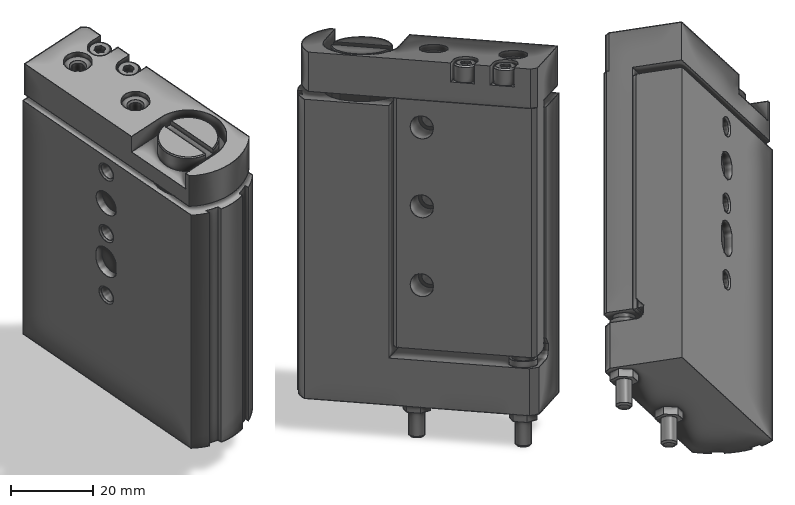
import cadquery as cq
import math

total_height = 96.8
plate_height = 10.0
stroke_gap = 2.0
housing_bottom = 8.8
plate_bottom = total_height - plate_height
housing_top = plate_bottom - stroke_gap
through = 193.6
overshoot = 1.0

housing_depth = 20.9
plate_back = 20.7
mid_y = plate_back / 2
side_flat_end = 58.5
rounded_side_x = 62.4
housing_chamfer = 1.9

groove_inner = 3.6
groove_outer = 6.6

recess_width = 37.3
recess_floor_y = 12.1
shelf_z = 20.7
relief_depth = 1.9
relief_wall_top = 24.1
ledge_inset = 1.2
pad_inset = 0.6

hole_x = 28.9
mount_hole_pitch = 20.0
top_mount_hole_z = 80.0
mount_hole_zs = [top_mount_hole_z - i * mount_hole_pitch for i in range(3)]
mount_hole_diameter = 4.2
mount_hole_mouth = 5.0
locating_diameter = 7.0
locating_depth = 2.0
locating_hole_z = 69.8
locating_slot_z = 50.7
locating_slot_length = 9.0

bumper_stud = (4.5, 17.0)
plain_stud = (31.5, 16.2)
stud_diameter = 4.0
stud_tip_chamfer = 0.5
nut_corners = 7.0
nut_height = 2.0
flange_diameter = 7.0
flange_height = 1.55
neck_diameter = 5.5

table_left = 0.3
table_right = 36.3
table_front = 13.2
table_back = 21.0
table_bottom = 23.6
table_chamfer = 1.1
plate_front = 0.3
plate_flat_end = 57.5
plate_round_x = 61.4
plate_chamfer = 1.4
access_hole_diameter = 5.8

guide_left = 7.7
guide_step = 19.9
guide_right = 25.9
guide_shallow = 0.5
guide_deep = 1.0

plate_hole_y = 10.1
plate_hole_xs = [8.8, 28.8]
counterbore_diameter = 7.0
counterbore_depth = 1.5
plate_hole_diameter = 3.2
plate_hole_mouth = 4.2

screw_xs = [8.8, 18.8]
screw_y = 17.5
screw_slot_width = 6.0
screw_slot_depth = 4.8
screw_head_diameter = 5.8
screw_head_drop = 0.6
screw_head_chamfer = 0.4
screw_socket_size = 2.8
screw_socket_depth = 1.9

knob_x = 46.85
knob_diameter = 15.0
knob_drop = 0.5
knob_chamfer = 0.3
knob_slot_width = 2.5
knob_slot_depth = 1.5
pocket_width = 18.8
pocket_depth = 5.0
adjuster_nut_corners = 15.0
nut_recess_diameter = 18.2
nut_recess_depth = 3.9
nut_recess_floor = housing_top - nut_recess_depth


def box(x0, x1, y0, y1, z0, z1):
    """Axis-aligned block between the given limits."""
    return cq.Workplane("XY").box(x1 - x0, y1 - y0, z1 - z0, centered=False).translate((x0, y0, z0))


def cylinder(x, y, z0, z1, diameter):
    """Upright cylinder."""
    return cq.Workplane("XY", origin=(x, y, z0)).circle(diameter / 2).extrude(z1 - z0)


def hexagon(x, y, z0, z1, corners):
    """Upright hexagonal prism with two corners on the X direction."""
    return cq.Workplane("XY", origin=(x, y, z0)).polygon(6, corners).extrude(z1 - z0)


def front_bore(x, z, diameter, y0, y1):
    """Cylinder along Y, used for holes in the front face."""
    return cq.Workplane("XZ", origin=(x, y0, z)).circle(diameter / 2).extrude(y0 - y1)


def rounded_slab(left, front, back, flat_end, tip, z0, z1):
    """Slab whose +X side is an arc from the front face to the back face."""
    return (
        cq.Workplane("XY", origin=(0, 0, z0))
        .moveTo(left, front)
        .lineTo(flat_end, front)
        .threePointArc((tip, (front + back) / 2), (flat_end, back))
        .lineTo(left, back)
        .close()
        .extrude(z1 - z0)
    )


def plate_blank(z0, z1):
    return rounded_slab(
        table_left, plate_front, plate_back, plate_flat_end, plate_round_x, z0, z1
    )


def sensor_grooves():
    """Two grooves in the rounded side, with floors flush with the end plate's arc."""
    lower = box(side_flat_end, through, mid_y - groove_outer, mid_y - groove_inner, 0, housing_top)
    upper = box(side_flat_end, through, mid_y + groove_inner, mid_y + groove_outer, 0, housing_top)
    return lower.union(upper).cut(plate_blank(0, housing_top))


def table_recess():
    """Open space for the table, with an undercut along the shelf corner."""
    opening = box(-overshoot, recess_width, recess_floor_y, through, shelf_z, through)
    relief_y = recess_floor_y - relief_depth
    relief_center_z = shelf_z + relief_depth
    arc_offset = relief_depth * math.sqrt(0.5)
    relief = (
        cq.Workplane("YZ", origin=(-overshoot, 0, 0))
        .moveTo(recess_floor_y, shelf_z)
        .threePointArc(
            (recess_floor_y - arc_offset, relief_center_z - arc_offset), (relief_y, relief_center_z)
        )
        .lineTo(relief_y, relief_wall_top)
        .lineTo(recess_floor_y, relief_wall_top + relief_depth)
        .close()
        .extrude(recess_width + overshoot)
    )
    return opening.union(relief)


def guide_pad():
    """Pad that fills the gap in front of the table, with a ledge in the top of the undercut."""
    pad = box(pad_inset, table_right, recess_floor_y, table_front, table_bottom, housing_top)
    ledge = box(
        ledge_inset, table_right,
        recess_floor_y - relief_depth, recess_floor_y,
        relief_wall_top, relief_wall_top + relief_depth,
    )
    return pad.union(ledge)


def mount_hole(z):
    """Through hole with a countersunk mouth in the front face."""
    mouth_depth = (mount_hole_mouth - mount_hole_diameter) / 2
    mouth = (
        cq.Workplane("XZ", origin=(hole_x, 0, z))
        .circle(mount_hole_mouth / 2)
        .workplane(offset=-mouth_depth)
        .circle(mount_hole_diameter / 2)
        .loft()
    )
    return front_bore(hole_x, z, mount_hole_diameter, -overshoot, housing_depth).union(mouth)


def locating_slot():
    return (
        cq.Workplane("XZ", origin=(hole_x, 0, locating_slot_z))
        .slot2D(locating_slot_length, locating_diameter, 90)
        .extrude(-locating_depth)
    )


def stop_stud(x, y):
    """Stud with its nut under the housing."""
    tip = cylinder(x, y, 0, housing_bottom, stud_diameter).faces("<Z").chamfer(stud_tip_chamfer)
    nut = hexagon(x, y, housing_bottom - nut_height, housing_bottom, nut_corners)
    return tip.union(nut)


def bumper(x, y):
    """Flanged bumper standing on the shelf, under the table."""
    flange = cylinder(x, y, shelf_z, shelf_z + flange_height, flange_diameter)
    neck = cylinder(x, y, shelf_z, table_bottom, neck_diameter)
    return flange.union(neck)


def make_housing():
    body = rounded_slab(
        0, 0, housing_depth, side_flat_end, rounded_side_x, housing_bottom, housing_top
    )
    body = body.edges("|Z and <X and >Y").chamfer(housing_chamfer)
    body = body.cut(sensor_grooves()).cut(table_recess())
    body = body.union(guide_pad())
    body = body.cut(cylinder(knob_x, mid_y, nut_recess_floor, housing_top, nut_recess_diameter))
    for z in mount_hole_zs:
        body = body.cut(mount_hole(z))
    body = body.cut(front_bore(hole_x, locating_hole_z, locating_diameter, 0, locating_depth))
    body = body.cut(locating_slot())
    for x, y in (bumper_stud, plain_stud):
        body = body.union(stop_stud(x, y))
    return body.union(bumper(*bumper_stud))


def plate_hole(x):
    """Counterbored through hole with a countersunk lower step."""
    step_z = total_height - counterbore_depth
    mouth_depth = (plate_hole_mouth - plate_hole_diameter) / 2
    mouth = (
        cq.Workplane("XY", origin=(x, plate_hole_y, step_z))
        .circle(plate_hole_mouth / 2)
        .workplane(offset=-mouth_depth)
        .circle(plate_hole_diameter / 2)
        .loft()
    )
    counterbore = cylinder(x, plate_hole_y, step_z, total_height, counterbore_diameter)
    bore = cylinder(x, plate_hole_y, plate_bottom, total_height, plate_hole_diameter)
    return bore.union(mouth).union(counterbore)


def screw_slot(x):
    """Round-ended slot, open at the back of the plate."""
    half_width = screw_slot_width / 2
    floor_z = total_height - screw_slot_depth
    end = cylinder(x, screw_y, floor_z, total_height, screw_slot_width)
    return end.union(box(x - half_width, x + half_width, screw_y, through, floor_z, total_height))


def screw_head(x):
    """Socket head standing on the slot floor."""
    top_z = total_height - screw_head_drop
    head = cylinder(x, screw_y, total_height - screw_slot_depth, top_z, screw_head_diameter)
    head = head.faces(">Z").chamfer(screw_head_chamfer)
    return head.cut(hexagon(x, screw_y, top_z - screw_socket_depth, top_z, screw_socket_size))


def knob_pocket():
    """Arched pocket, open at the front of the plate."""
    half_width = pocket_width / 2
    floor_z = total_height - pocket_depth
    arch = cylinder(knob_x, mid_y, floor_z, total_height, pocket_width)
    return arch.union(box(knob_x - half_width, knob_x + half_width, -overshoot, mid_y, floor_z, total_height))


def knob():
    """Slotted round head standing on the pocket floor."""
    top_z = total_height - knob_drop
    head = cylinder(knob_x, mid_y, total_height - pocket_depth, top_z, knob_diameter)
    head = head.faces(">Z").chamfer(knob_chamfer)
    slot = box(
        knob_x - knob_diameter, knob_x + knob_diameter,
        mid_y - knob_slot_width / 2, mid_y + knob_slot_width / 2,
        top_z - knob_slot_depth, top_z,
    )
    return head.cut(slot)


def guide_channel():
    shallow = box(guide_left, guide_right, 0, table_front + guide_shallow, 0, plate_bottom)
    deep = box(guide_left, guide_step, 0, table_front + guide_deep, 0, plate_bottom)
    return shallow.union(deep)


def make_table():
    table = box(table_left, table_right, table_front, table_back, table_bottom, plate_bottom)
    table = table.edges("|Z and >Y").chamfer(table_chamfer).cut(guide_channel())
    for z in mount_hole_zs:
        table = table.cut(front_bore(hole_x, z, access_hole_diameter, 0, through))

    plate = plate_blank(plate_bottom, total_height)
    plate = plate.edges("|Z and <X and >Y").chamfer(plate_chamfer).cut(knob_pocket())
    for x in plate_hole_xs:
        plate = plate.cut(plate_hole(x))
    for x in screw_xs:
        plate = plate.cut(screw_slot(x)).union(screw_head(x))

    nut = hexagon(knob_x, mid_y, nut_recess_floor, plate_bottom, adjuster_nut_corners)
    return table.union(plate).union(knob()).union(nut)


housing = make_housing()
table = make_table()

result = cq.Compound.makeCompound([housing.solids().val(), table.solids().val()])